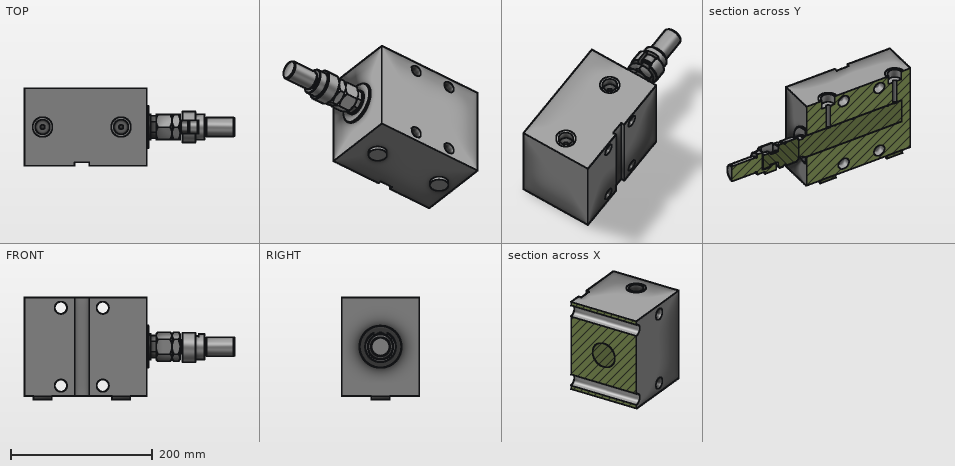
import cadquery as cq

HOUSING_LENGTH = 173.0
HOUSING_WIDTH = 110.0
HOUSING_HEIGHT = 139.8
KEYWAY_START = 71.0
KEYWAY_WIDTH = 20.5
KEYWAY_DEPTH = 5.0
TOP_FRONT_CHAMFER = 0.3
BOLT_HOLE_DIAMETER = 17.0
BOLT_HOLE_XS = (51.8, 111.0)
BOLT_HOLE_EDGE_DISTANCE = 15.0

PORT_XS = (26.0, 136.8)
PORT_DIAMETER = 20.8
PORT_DEPTH = 13.7
SPOT_FACE_DIAMETER = 28.0
SPOT_FACE_DEPTH = 0.3
FEED_HOLE_DIAMETER = 6.2
PLUG_DIAMETER = 26.2
PLUG_HEIGHT = 5.0

GLAND_RADIUS = 30.0
GLAND_LENGTH = 2.7
GLAND_CHAMFER = 1.0

ROD_RADIUS = 18.0
ROD_START = 15.0
ROD_SHOULDER_END = HOUSING_LENGTH + 5.5
ROD_END = 186.2
ROD_TIP_RADIUS = 17.5
ROD_FLATS_WIDTH = 31.8

HEX_FLATS_WIDTH = 36.0
HEX_END_RADIUS = 17.8
HEX_CHAMFER_LENGTH = 2.7
HEX_CORNER_RADIUS = HEX_FLATS_WIDTH / 3**0.5
LONG_HEX_LENGTH = 22.5
SHORT_HEX_LENGTH = 11.5
SHORT_HEX_START = ROD_END + LONG_HEX_LENGTH
HEX_END = SHORT_HEX_START + SHORT_HEX_LENGTH
NECK_RADIUS = 9.2
NECK_ROOT_RADIUS = 10.0
NECK_TAPER_LENGTH = 1.8
HEAD_START = 233.0
HEAD_LENGTH = 12.5
HEAD_RADIUS = 12.5
HEAD_CHAMFER = 1.0
HEAD_END = HEAD_START + HEAD_LENGTH

TOTAL_LENGTH = 297.5
COLLAR_START = 223.0
COLLAR_END = 242.5
COLLAR_RADIUS = 22.0
COLLAR_CHAMFER = 1.0
BARREL_END = 255.3
BARREL_RADIUS = 18.0
BARREL_CHAMFER = 1.0
RELIEF_LENGTH = 1.8
RELIEF_RADIUS = 12.5
SPINDLE_RADIUS = 13.7
SPINDLE_START_CHAMFER_LENGTH = 1.2
SPINDLE_END_CHAMFER_LENGTH = 1.8
SLOT_WIDTH = 19.0
SLOT_END = 246.3
HEAD_CLEARANCE = 0.3


def revolve_on_axis(profile):
    """Turn a profile of (x, radius) points about the X axis."""
    return cq.Workplane("XY").polyline(profile).close().revolve(360, (0, 0, 0), (1, 0, 0))


def cylinder_on_axis(start, end, radius):
    return cq.Workplane("YZ", origin=(start, 0, 0)).circle(radius).extrude(end - start)


def make_port():
    """Cutting shape of one port, with the top face of the housing at Z = HOUSING_HEIGHT / 2."""
    top = cq.Workplane("XY", origin=(0, 0, HOUSING_HEIGHT / 2))
    spot_face = top.circle(SPOT_FACE_DIAMETER / 2).extrude(-SPOT_FACE_DEPTH)
    thread_bore = top.circle(PORT_DIAMETER / 2).extrude(-PORT_DEPTH)
    feed_hole = top.circle(FEED_HOLE_DIAMETER / 2).extrude(-HOUSING_HEIGHT / 2)
    return spot_face.union(thread_bore).union(feed_hole)


def make_housing():
    block = cq.Workplane("XY").box(
        HOUSING_LENGTH, HOUSING_WIDTH, HOUSING_HEIGHT, centered=(False, True, True)
    )
    block = block.faces("<Y").edges(">Z").chamfer(TOP_FRONT_CHAMFER)

    keyway = (
        cq.Workplane("XY")
        .box(KEYWAY_WIDTH, KEYWAY_DEPTH, HOUSING_HEIGHT, centered=(False, False, True))
        .translate((KEYWAY_START, -HOUSING_WIDTH / 2, 0))
    )
    block = block.cut(keyway)

    bolt_hole_z = HOUSING_HEIGHT / 2 - BOLT_HOLE_EDGE_DISTANCE
    bolt_hole_places = [(x, z) for x in BOLT_HOLE_XS for z in (-bolt_hole_z, bolt_hole_z)]
    bolt_holes = (
        cq.Workplane("XZ")
        .pushPoints(bolt_hole_places)
        .circle(BOLT_HOLE_DIAMETER / 2)
        .extrude(HOUSING_WIDTH / 2, both=True)
    )
    block = block.cut(bolt_holes)

    for x in PORT_XS:
        block = block.cut(make_port().translate((x, 0, 0)))

    rod_bore = cylinder_on_axis(ROD_START, HOUSING_LENGTH, ROD_RADIUS)
    return block.cut(rod_bore)


def make_plug(x):
    bottom = cq.Workplane("XY", origin=(x, 0, -HOUSING_HEIGHT / 2))
    return bottom.circle(PLUG_DIAMETER / 2).extrude(-PLUG_HEIGHT)


def make_gland():
    end = HOUSING_LENGTH + GLAND_LENGTH
    return revolve_on_axis([
        (HOUSING_LENGTH, ROD_RADIUS),
        (HOUSING_LENGTH, GLAND_RADIUS),
        (end - GLAND_CHAMFER, GLAND_RADIUS),
        (end, GLAND_RADIUS - GLAND_CHAMFER),
        (end, ROD_RADIUS),
    ])


def make_rod():
    shaft = cylinder_on_axis(ROD_START, ROD_SHOULDER_END, ROD_RADIUS)
    tip = cylinder_on_axis(ROD_SHOULDER_END, ROD_END, ROD_TIP_RADIUS)
    flats = (
        cq.Workplane("YZ", origin=(ROD_SHOULDER_END, 0, 0))
        .rect(ROD_FLATS_WIDTH, ROD_FLATS_WIDTH)
        .extrude(ROD_END - ROD_SHOULDER_END)
    )
    return shaft.union(tip.intersect(flats))


def make_hexagon(start, length):
    """Hexagon with flats facing +Y and -Y, and its corners chamfered at both ends."""
    prism = (
        cq.Workplane("YZ", origin=(start, 0, 0))
        .polygon(6, 2 * HEX_CORNER_RADIUS)
        .extrude(length)
        .rotate((0, 0, 0), (1, 0, 0), 90)
    )
    end = start + length
    chamfered_envelope = revolve_on_axis([
        (start, 0),
        (start, HEX_END_RADIUS),
        (start + HEX_CHAMFER_LENGTH, HEX_CORNER_RADIUS),
        (end - HEX_CHAMFER_LENGTH, HEX_CORNER_RADIUS),
        (end, HEX_END_RADIUS),
        (end, 0),
    ])
    return prism.intersect(chamfered_envelope)


def make_stud():
    long_hex = make_hexagon(ROD_END, LONG_HEX_LENGTH)
    short_hex = make_hexagon(SHORT_HEX_START, SHORT_HEX_LENGTH)
    neck_and_head = revolve_on_axis([
        (HEX_END, 0),
        (HEX_END, NECK_ROOT_RADIUS),
        (HEX_END + NECK_TAPER_LENGTH, NECK_RADIUS),
        (HEAD_START - NECK_TAPER_LENGTH, NECK_RADIUS),
        (HEAD_START, NECK_ROOT_RADIUS),
        (HEAD_START, HEAD_RADIUS - HEAD_CHAMFER),
        (HEAD_START + HEAD_CHAMFER, HEAD_RADIUS),
        (HEAD_END - HEAD_CHAMFER, HEAD_RADIUS),
        (HEAD_END, HEAD_RADIUS - HEAD_CHAMFER),
        (HEAD_END, 0),
    ])
    return long_hex.union(short_hex).union(neck_and_head)


def make_socket():
    spindle_start = BARREL_END + RELIEF_LENGTH
    body = revolve_on_axis([
        (COLLAR_START, 0),
        (COLLAR_START, COLLAR_RADIUS - COLLAR_CHAMFER),
        (COLLAR_START + COLLAR_CHAMFER, COLLAR_RADIUS),
        (COLLAR_END - COLLAR_CHAMFER, COLLAR_RADIUS),
        (COLLAR_END, COLLAR_RADIUS - COLLAR_CHAMFER),
        (COLLAR_END, BARREL_RADIUS),
        (BARREL_END - BARREL_CHAMFER, BARREL_RADIUS),
        (BARREL_END, BARREL_RADIUS - BARREL_CHAMFER),
        (BARREL_END, RELIEF_RADIUS),
        (spindle_start, RELIEF_RADIUS),
        (spindle_start + SPINDLE_START_CHAMFER_LENGTH, SPINDLE_RADIUS),
        (TOTAL_LENGTH - SPINDLE_END_CHAMFER_LENGTH, SPINDLE_RADIUS),
        (TOTAL_LENGTH, RELIEF_RADIUS),
        (TOTAL_LENGTH, 0),
    ])

    slot_length = SLOT_END - COLLAR_START
    slot_floor = cylinder_on_axis(COLLAR_START, SLOT_END, SLOT_WIDTH / 2)
    slot_walls = (
        cq.Workplane("XY")
        .box(slot_length, SLOT_WIDTH, COLLAR_RADIUS, centered=(False, True, False))
        .translate((COLLAR_START, 0, 0))
    )
    head_pocket = cylinder_on_axis(HEAD_START, SLOT_END, HEAD_RADIUS + HEAD_CLEARANCE)
    return body.cut(slot_floor).cut(slot_walls).cut(head_pocket)


housing = make_housing()
plugs = [make_plug(x) for x in PORT_XS]
gland = make_gland()
rod = make_rod()
stud = make_stud()
socket = make_socket()

result = cq.Compound.makeCompound([
    housing.val(),
    *[plug.val() for plug in plugs],
    gland.val(),
    rod.val(),
    stud.val(),
    socket.val(),
])